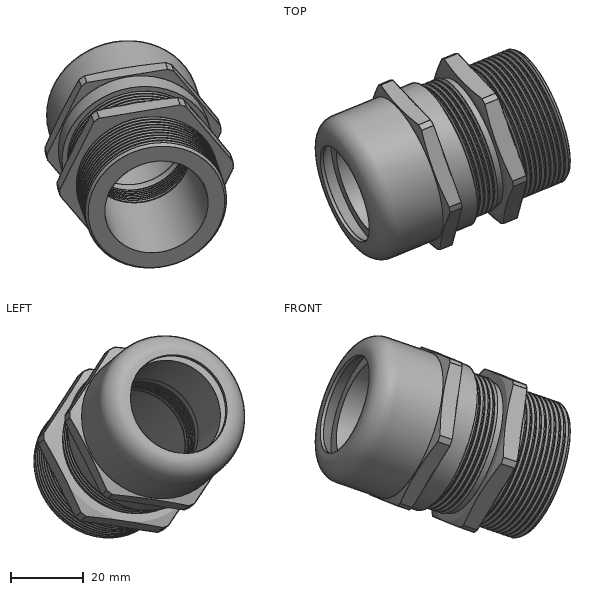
import cadquery as cq
import math

AXIS_YAW = 22.34
AXIS_DIP = 17.74
HEX_TURN = 38.3

LIP_END = 1.0
SEAL_START = 5.0
BODY_START = 14.0
NUT_HEX_START = 19.3
SEAL_END = 21.8
NUT_HEX_END = 23.9
RIBS_START = 24.0
NUT_END = 30.0
INSERT_END = 31.8
BODY_HEX_START = 39.15
BODY_HEX_END = 44.2
BODY_END = 60.15

NUT_RADIUS = 42.3 / 2
NOSE_FILLET = 5.3
SEAL_RADIUS = 34.76 / 2
SEAL_BORE_RADIUS = 28.45 / 2
LIP_RADIUS = SEAL_BORE_RADIUS
BODY_BORE_RADIUS = 28.8 / 2

RIB_PITCH = 1.0
RIB_DEPTH = 0.15

THREAD_RADIUS = 39.4 / 2
THREAD_ROOT_RADIUS = 38.1 / 2
THREAD_PITCH = 1.5
THREAD_CREST = THREAD_PITCH / 4
THREAD_LEAD_IN = 0.9
FRONT_NECK = 2.0
REAR_NECK = 0.3

HEX_FLATS = 43.0
HEX_CORNERS = 48.6
HEX_CHAMFER_ANGLE = 15.0


def revolve(outline):
    """Turn a closed (radius, station) outline about the axis."""
    return cq.Workplane("XZ").polyline(outline).close().revolve(360, (0, 0, 0), (0, 1, 0))


def tube(inner, outer, start, end):
    return revolve([(inner, start), (outer, start), (outer, end), (inner, end)])


def cylinder(radius, start, end):
    return tube(0, radius, start, end)


def hexagon(start, end, face_radius):
    """Hexagon with rounded-off corners and a cone on its nose-side face from face_radius outwards."""
    corner_radius = HEX_CORNERS / 2
    drop = (corner_radius - face_radius) * math.tan(math.radians(HEX_CHAMFER_ANGLE))
    envelope = revolve(
        [
            (0, start),
            (face_radius, start),
            (corner_radius, start + drop),
            (corner_radius, end),
            (0, end),
        ]
    )
    prism = (
        cq.Workplane("XY", origin=(0, 0, start))
        .polygon(6, HEX_FLATS, circumscribed=True)
        .extrude(end - start)
        .rotate((0, 0, 0), (0, 0, 1), HEX_TURN)
    )
    return prism.intersect(envelope)


def thread(start, end):
    """Threaded cylinder built as a stack of V grooves; the last groove runs out at its end."""
    outline = [(0, start), (THREAD_RADIUS, start)]
    groove_width = THREAD_PITCH - THREAD_CREST
    grooves = int((end + THREAD_CREST - start) / THREAD_PITCH)
    for i in range(grooves, 0, -1):
        groove_start = end + THREAD_CREST - i * THREAD_PITCH
        outline.append((THREAD_RADIUS, groove_start))
        outline.append((THREAD_ROOT_RADIUS, groove_start + groove_width / 2))
        outline.append((THREAD_RADIUS, groove_start + groove_width))
    outline.append((0, end))
    return revolve(outline)


def make_nut():
    """Domed gland nut: narrow lip, cone down to the seal, then the bore that takes the body."""
    shell = (
        cq.Workplane("XY")
        .circle(NUT_RADIUS)
        .extrude(NUT_END)
        .faces("<Z")
        .edges()
        .fillet(NOSE_FILLET)
        .union(hexagon(NUT_HEX_START, NUT_HEX_END, NUT_RADIUS))
    )
    cavity = revolve(
        [
            (0, 0),
            (LIP_RADIUS, 0),
            (LIP_RADIUS, LIP_END),
            (SEAL_RADIUS, SEAL_START),
            (SEAL_RADIUS, BODY_START),
            (THREAD_RADIUS, BODY_START),
            (THREAD_RADIUS, NUT_END),
            (0, NUT_END),
        ]
    )
    return shell.cut(cavity)


def make_seal():
    return tube(SEAL_BORE_RADIUS, SEAL_RADIUS, SEAL_START, SEAL_END)


def make_insert():
    """Ring behind the seal; V grooves in the rear part of its bore leave sharp sealing ribs."""
    outline = [(SEAL_RADIUS, INSERT_END), (SEAL_RADIUS, SEAL_END), (SEAL_BORE_RADIUS, SEAL_END)]
    grooves = int((INSERT_END - RIBS_START) / RIB_PITCH)
    for i in range(grooves):
        rib = RIBS_START + i * RIB_PITCH
        outline.append((SEAL_BORE_RADIUS, rib))
        outline.append((SEAL_BORE_RADIUS + RIB_DEPTH, rib + RIB_PITCH / 2))
    outline.append((SEAL_BORE_RADIUS, RIBS_START + grooves * RIB_PITCH))
    outline.append((SEAL_BORE_RADIUS, INSERT_END))
    return revolve(outline)


def make_body():
    """Double-threaded body with a hexagon between two necks and a pocket for the seal and insert."""
    front_neck_start = BODY_HEX_START - FRONT_NECK
    rear_neck_end = BODY_HEX_END + REAR_NECK
    lead_in_start = BODY_END - THREAD_LEAD_IN
    lead_in = revolve(
        [
            (0, lead_in_start),
            (THREAD_RADIUS, lead_in_start),
            (THREAD_ROOT_RADIUS, BODY_END),
            (0, BODY_END),
        ]
    )
    sections = [
        cylinder(THREAD_ROOT_RADIUS, front_neck_start, BODY_HEX_START),
        hexagon(BODY_HEX_START, BODY_HEX_END, HEX_FLATS / 2),
        cylinder(THREAD_ROOT_RADIUS, BODY_HEX_END, rear_neck_end),
        thread(rear_neck_end, lead_in_start),
        lead_in,
    ]
    body = thread(BODY_START, front_neck_start)
    for section in sections:
        body = body.union(section)
    pocket = cylinder(SEAL_RADIUS, BODY_START, INSERT_END)
    bore = cylinder(BODY_BORE_RADIUS, INSERT_END, BODY_END)
    return body.cut(pocket).cut(bore)


def axis_location():
    """Placement that lays the local Z axis along the tilted axis, nose face at the origin."""
    yaw = math.radians(AXIS_YAW)
    dip = math.radians(AXIS_DIP)
    axis = cq.Vector(math.cos(dip) * math.cos(yaw), math.cos(dip) * math.sin(yaw), -math.sin(dip))
    level = cq.Vector(0, 0, 1).cross(axis)
    return cq.Location(cq.Plane(origin=(0, 0, 0), xDir=level, normal=axis))


location = axis_location()
nut = make_nut()
seal = make_seal()
insert = make_insert()
body = make_body()

result = cq.Compound.makeCompound([part.val().moved(location) for part in (nut, seal, insert, body)])